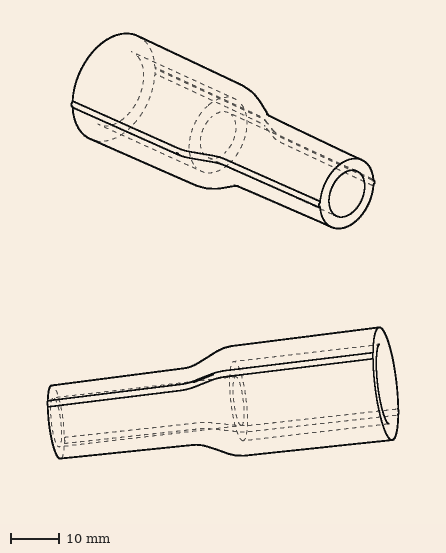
import cadquery as cq
import math

length = 70.0
body_end = 31.3
bend_length = 3.15
neck_start = 41.85
shoulder_start = body_end + bend_length
shoulder_end = neck_start - bend_length

mouth_radius = 23.5 / 2
body_draft = 0.58
shoulder_angle = 25.0
neck_draft = 0.75

socket_diameter = 16.5
socket_depth = body_end
through_diameter = 10.2
mouth_round = 0.5

rib_width = 1.5
rib_crest_width = 0.55
rib_height = (24.3 - 23.5) / 2
rib_foot_sink = 0.015
rib_root_depth = 0.4
rib_overrun = 0.7


def drop(run, start_angle, end_angle):
    """Radius lost over an axial run, along a line or an arc between two slopes."""
    return run * math.tan(math.radians((start_angle + end_angle) / 2))


body_end_radius = mouth_radius - drop(body_end, body_draft, body_draft)
shoulder_start_radius = body_end_radius - drop(bend_length, body_draft, shoulder_angle)
shoulder_end_radius = shoulder_start_radius - drop(
    shoulder_end - shoulder_start, shoulder_angle, shoulder_angle
)
neck_start_radius = shoulder_end_radius - drop(bend_length, shoulder_angle, neck_draft)
tip_radius = neck_start_radius - drop(length - neck_start, neck_draft, neck_draft)


def outer_outline(overrun=0.0):
    """Wall line from mouth to tip, optionally extended past both ends."""
    start = (-overrun, mouth_radius + drop(overrun, body_draft, body_draft))
    end = (length + overrun, tip_radius - drop(overrun, neck_draft, neck_draft))
    return (
        cq.Workplane("XY")
        .moveTo(*start)
        .lineTo(body_end, body_end_radius)
        .tangentArcPoint((shoulder_start, shoulder_start_radius), relative=False)
        .lineTo(shoulder_end, shoulder_end_radius)
        .tangentArcPoint((neck_start, neck_start_radius), relative=False)
        .lineTo(*end)
    )


def make_wall():
    return (
        outer_outline()
        .lineTo(length, 0)
        .lineTo(0, 0)
        .close()
        .revolve(360, (0, 0, 0), (1, 0, 0))
    )


def make_rib():
    """Rib on the +Y side, swept along the wall and trimmed flush at both ends."""
    half_width = rib_width / 2
    half_crest = rib_crest_width / 2
    full_height = rib_height + rib_foot_sink

    turn = 2 * math.atan(full_height / half_width)
    crest_rise = half_crest * math.tan(turn / 2)

    start_radius = mouth_radius + drop(rib_overrun, body_draft, body_draft)
    foot_y = start_radius - rib_foot_sink
    crest_y = start_radius + rib_height
    root_y = start_radius - rib_root_depth
    section = (
        cq.Workplane("YZ", origin=(-rib_overrun, 0, 0))
        .moveTo(root_y, -half_width)
        .lineTo(foot_y, -half_width)
        .threePointArc(
            fillet_middle(foot_y, half_width, half_width - half_crest, turn),
            (crest_y - crest_rise, -half_crest),
        )
        .threePointArc((crest_y, 0), (crest_y - crest_rise, half_crest))
        .tangentArcPoint((foot_y, half_width), relative=False)
        .lineTo(root_y, half_width)
        .close()
    )
    swept = section.sweep(outer_outline(rib_overrun))
    trim = cq.Workplane("XY").box(
        length, 2 * crest_y, 2 * rib_width, centered=(False, True, True)
    )
    return swept.intersect(trim)


def fillet_middle(foot_y, half_width, run, turn):
    """Point halfway round the fillet on the -Z side of the rib."""
    radius = run / math.sin(turn)
    y = foot_y + radius * (1 - math.cos(turn / 2))
    z = -half_width + radius * math.sin(turn / 2)
    return (y, z)


def make_bore():
    socket_radius = socket_diameter / 2
    through_radius = through_diameter / 2
    return (
        cq.Workplane("XY")
        .moveTo(0, 0)
        .lineTo(0, socket_radius + mouth_round)
        .radiusArc((mouth_round, socket_radius), -mouth_round)
        .lineTo(socket_depth, socket_radius)
        .lineTo(socket_depth, through_radius)
        .lineTo(length, through_radius)
        .lineTo(length, 0)
        .close()
        .revolve(360, (0, 0, 0), (1, 0, 0))
    )


rib = make_rib()
result = make_wall().union(rib).union(rib.mirror("XZ")).cut(make_bore())